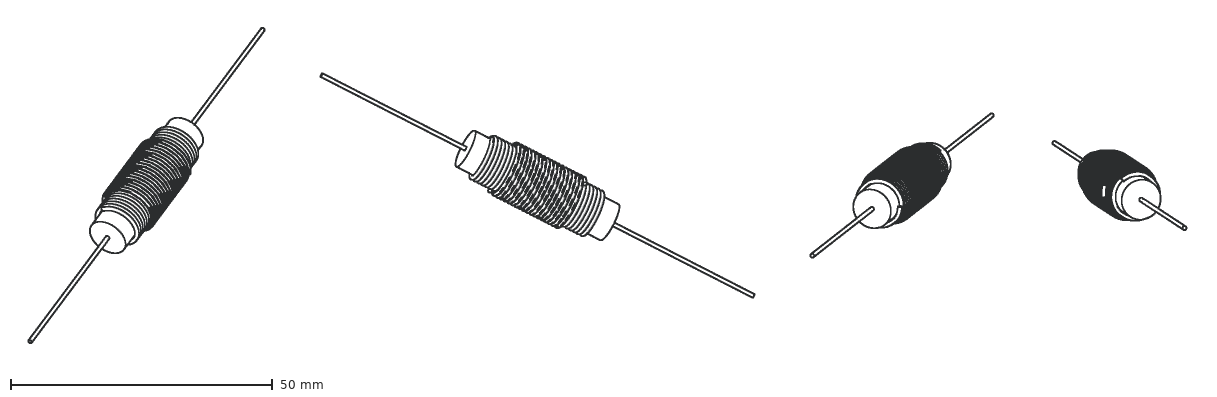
import cadquery as cq


wire_diameter = 0.8
outer_diameter = 11.18
core_diameter = 7.75
core_length = 31.75
overall_length = 95.25
turn_pitch = 0.81

outer_layer_radius = (outer_diameter - wire_diameter) / 2
inner_layer_radius = outer_layer_radius - wire_diameter
core_radius = core_diameter / 2
lead_radius = wire_diameter / 2

inner_turns = 30.86
inner_start_angle = 130
outer_turns = 18.55
outer_start_angle = 188


def round_section(radius, center_x=0):
    """Circle in the XZ plane drawn as two half arcs that meet on the X axis."""
    return (
        cq.Workplane("XZ")
        .center(center_x, 0)
        .moveTo(radius, 0)
        .threePointArc((0, radius), (-radius, 0))
        .threePointArc((0, -radius), (radius, 0))
        .close()
    )


def make_rod(radius, length):
    """Round rod along Y, centred on the origin."""
    return round_section(radius).extrude(length).translate((0, length / 2, 0))


def make_core():
    """Core with a lead at each end, as one solid."""
    leads = make_rod(lead_radius, overall_length)
    return make_rod(core_radius, core_length).union(leads)


def make_winding(layer_radius, turns, start_angle):
    """One right-handed layer of wire, centred along the core."""
    axial_travel = turns * turn_pitch
    path = cq.Wire.makeHelix(turn_pitch, axial_travel, layer_radius)
    winding = round_section(wire_diameter / 2, layer_radius).sweep(cq.Workplane(path), isFrenet=True)
    return (
        winding.translate((0, 0, -axial_travel / 2))
        .rotate((0, 0, 0), (1, 0, 0), -90)
        .rotate((0, 0, 0), (0, 1, 0), -start_angle)
    )


core = make_core()
inner_winding = make_winding(inner_layer_radius, inner_turns, inner_start_angle)
outer_winding = make_winding(outer_layer_radius, outer_turns, outer_start_angle)

result = cq.Compound.makeCompound([core.val(), inner_winding.val(), outer_winding.val()])